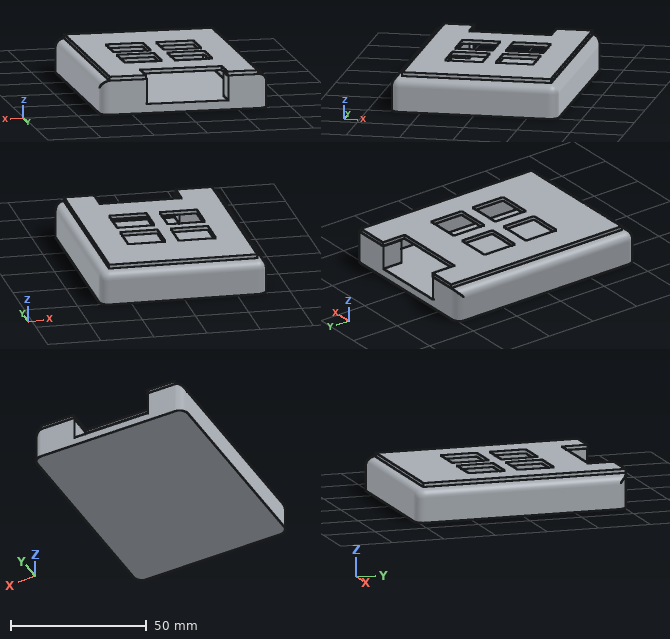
import cadquery as cq

length = 81.9
width = 62.8
total_height = 14.3
edge_radius = 3.5

plate_thickness = 1.5
plate_width = width - 2 * edge_radius
plate_length = length - edge_radius
plate_shift = 0.3

key_size = 14.0
key_pitch = 19.0
key_corner_radius = 0.5
key_centre_x = 0.7
key_centre_y = 0.3

notch_width = 30.6
notch_depth = 10.0
notch_centre_x = -1.15

floor_thickness = 3.5
wall_thickness = 8.3

housing_height = total_height - plate_thickness
back_y = length / 2


def box(size_x, size_y, size_z, x, y, z):
    """Box centred on x and y, with its underside at z."""
    return cq.Workplane("XY").box(size_x, size_y, size_z, (True, True, False)).translate((x, y, z))


def notch_cutter(x, bottom, height):
    """Block that opens the notch at the back edge."""
    return box(notch_width, notch_depth, height, x, back_y - notch_depth / 2, bottom)


def make_housing():
    """Block with rounded edges, hollowed for the switches and notched at the back."""
    block = box(width, length, housing_height, 0, 0, 0)
    block = block.edges("|Z and <Y").fillet(edge_radius)
    block = block.faces(">Z").edges("not >Y").fillet(edge_radius)
    back_corners = box(width, length, housing_height, 0, 0, 0).edges("|Z and >Y").fillet(edge_radius)
    block = block.intersect(back_corners)

    cavity = box(width - 2 * wall_thickness, length - 2 * wall_thickness, housing_height,
                 0, 0, floor_thickness)
    notch = notch_cutter(notch_centre_x, floor_thickness, housing_height)
    return block.cut(cavity).cut(notch)


def make_plate():
    """Flat cover with the key openings and the matching notch."""
    plate = box(plate_width, plate_length, plate_thickness,
                plate_shift, back_y - plate_length / 2, housing_height)
    keys = (
        cq.Workplane("XY", origin=(key_centre_x, key_centre_y, housing_height))
        .rarray(key_pitch, key_pitch, 2, 2)
        .rect(key_size, key_size)
        .extrude(plate_thickness)
        .edges("|Z")
        .fillet(key_corner_radius)
    )
    notch = notch_cutter(notch_centre_x + plate_shift, housing_height, plate_thickness)
    return plate.cut(keys).cut(notch)


housing = make_housing()
plate = make_plate()

result = cq.Compound.makeCompound([housing.val(), plate.val()])